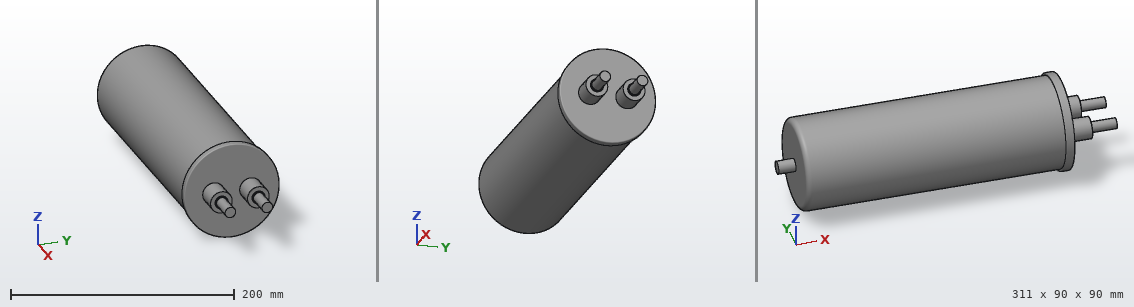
import cadquery as cq

body_diameter = 85.4
can_length = 249.0
end_fillet = 5.0
rim_diameter = 90.0
rim_length = 8.0
rim_fillet = 1.0

stud_diameter = 12.0
stud_length = 16.0

terminal_spacing = 35.0
insulator_diameter = 20.5
insulator_length = 21.5
collar_diameter = 12.0
collar_length = 1.0
pin_diameter = 10.0
terminal_length = 46.0
pin_length = terminal_length - insulator_length - collar_length


def cylinder_along_x(start_x, length, diameter, center_y=0.0):
    """Solid cylinder parallel to X, running from start_x toward +X."""
    plane = cq.Workplane("YZ", origin=(start_x, center_y, 0))
    return plane.circle(diameter / 2).extrude(length)


def make_can():
    """Body with a rounded -X end and a rim with rounded edges."""
    body = cylinder_along_x(0, can_length, body_diameter)
    body = body.faces("<X").edges().fillet(end_fillet)
    rim = cylinder_along_x(can_length - rim_length, rim_length, rim_diameter)
    rim = rim.edges("%CIRCLE").fillet(rim_fillet)
    return body.union(rim)


def make_terminal(center_y):
    """Stepped terminal standing on the +X end of the can."""
    collar_start = can_length + insulator_length
    pin_start = collar_start + collar_length
    insulator = cylinder_along_x(can_length, insulator_length, insulator_diameter, center_y)
    collar = cylinder_along_x(collar_start, collar_length, collar_diameter, center_y)
    pin = cylinder_along_x(pin_start, pin_length, pin_diameter, center_y)
    return insulator.union(collar).union(pin)


stud = cylinder_along_x(-stud_length, stud_length, stud_diameter)
result = make_can().union(stud)
for side in (-1, 1):
    result = result.union(make_terminal(side * terminal_spacing / 2))